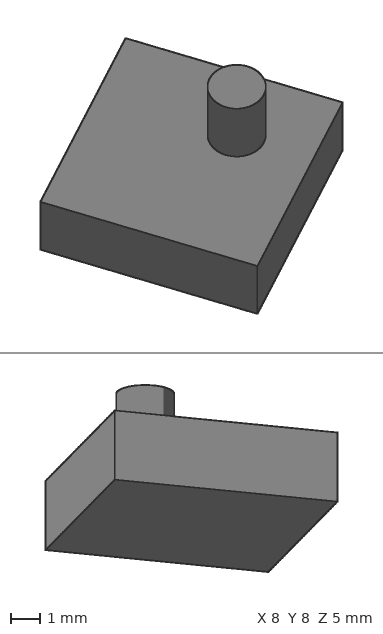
import cadquery as cq

plate_side = 8.0
total_height = 5.0
plate_thickness = total_height / 2
pin_height = total_height - plate_thickness

pin_diameter = 2.0
pin_x = 1.15
pin_y = 1.3


def make_plate():
    """Square plate centred on the Z axis, resting on Z = 0."""
    return cq.Workplane("XY").box(plate_side, plate_side, plate_thickness, centered=(True, True, False))


def make_pin():
    """Round pin standing on the top face of the plate."""
    return (
        cq.Workplane("XY", origin=(pin_x, pin_y, plate_thickness))
        .circle(pin_diameter / 2)
        .extrude(pin_height)
    )


plate = make_plate()
pin = make_pin()

result = cq.Compound.makeCompound([plate.val(), pin.val()])